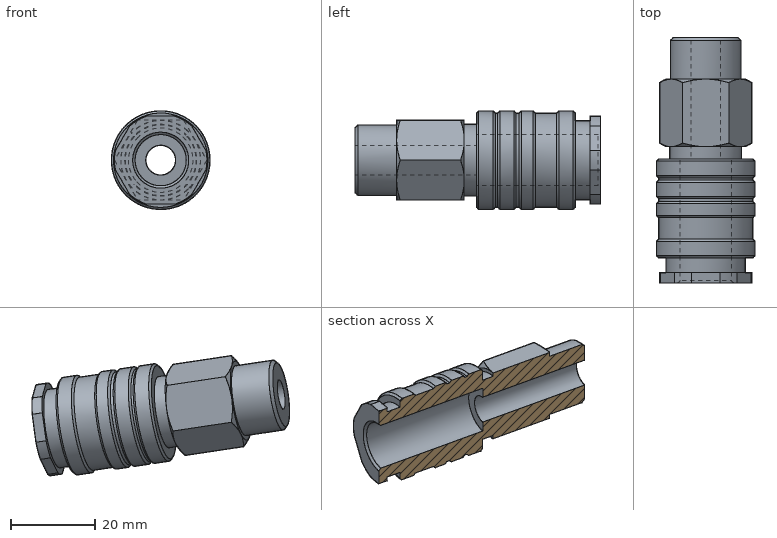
import cadquery as cq
import math

total_length = 58.5

flange_end = 2.5
sleeve_start = 6.0
sleeve_end = 29.55
hex_start = 32.45
hex_end = 48.55

flange_diameter = 22.0
front_neck_diameter = 18.9
sleeve_diameter = 23.5
rear_neck_diameter = 17.15
spigot_diameter = 16.85
spigot_chamfer = 0.75

groove_depth = 0.5
grooves = [(10.5, 15.55), (19.4, 20.1), (24.5, 25.05)]

flange_across_flats = 20.95
hex_across_flats = 19.0
hex_chamfer_angle = 30.0

socket_diameter = 12.15
socket_chamfer = 0.6
socket_depth = sleeve_end
through_diameter = 7.0


def section_at(y):
    """Workplane facing +Y at station y, with local X along -X and local Y along Z."""
    return cq.Workplane("XZ", origin=(0, y, 0)).transformed(rotate=(0, 180, 0))


def cylinder(start, end, diameter):
    return section_at(start).circle(diameter / 2).extrude(end - start)


def hexagon(start, end, across_flats):
    """Hexagonal bar with corners on X and flats facing Z."""
    across_corners = across_flats / math.cos(math.pi / 6)
    return section_at(start).polygon(6, across_corners).extrude(end - start)


def revolve_profile(points):
    """Revolve (radius, y) points about the Y axis."""
    return cq.Workplane("XY").polyline(points).close().revolve(360, (0, 0), (0, 1))


def make_flange():
    flats = hexagon(0, flange_end, flange_across_flats)
    return cylinder(0, flange_end, flange_diameter).intersect(flats)


def make_sleeve():
    """Grip sleeve whose raised rings all have 45 degree edges."""
    ring_radius = sleeve_diameter / 2
    groove_radius = ring_radius - groove_depth
    ring_starts = [sleeve_start] + [end for _, end in grooves]
    ring_ends = [start for start, _ in grooves] + [sleeve_end]
    points = [(0, sleeve_start)]
    for start, end in zip(ring_starts, ring_ends):
        points += [
            (groove_radius, start),
            (ring_radius, start + groove_depth),
            (ring_radius, end - groove_depth),
            (groove_radius, end),
        ]
    points.append((0, sleeve_end))
    return revolve_profile(points)


def make_hex():
    """Wrench hexagon with its corners turned off at both ends."""
    face_radius = hex_across_flats / 2
    corner_radius = face_radius / math.cos(math.pi / 6)
    setback = (corner_radius - face_radius) * math.tan(math.radians(hex_chamfer_angle))
    envelope = revolve_profile([
        (0, hex_start),
        (face_radius, hex_start),
        (corner_radius, hex_start + setback),
        (corner_radius, hex_end - setback),
        (face_radius, hex_end),
        (0, hex_end),
    ])
    return hexagon(hex_start, hex_end, hex_across_flats).intersect(envelope)


def make_spigot():
    spigot = cylinder(hex_end, total_length, spigot_diameter)
    return spigot.faces(">Y").chamfer(spigot_chamfer)


def make_bore():
    socket_radius = socket_diameter / 2
    through_radius = through_diameter / 2
    return revolve_profile([
        (0, 0),
        (socket_radius + socket_chamfer, 0),
        (socket_radius, socket_chamfer),
        (socket_radius, socket_depth),
        (through_radius, socket_depth),
        (through_radius, total_length),
        (0, total_length),
    ])


body = make_flange()
body = body.union(cylinder(flange_end, sleeve_start, front_neck_diameter))
body = body.union(make_sleeve())
body = body.union(cylinder(sleeve_end, hex_start, rear_neck_diameter))
body = body.union(make_hex())
body = body.union(make_spigot())
result = body.cut(make_bore())